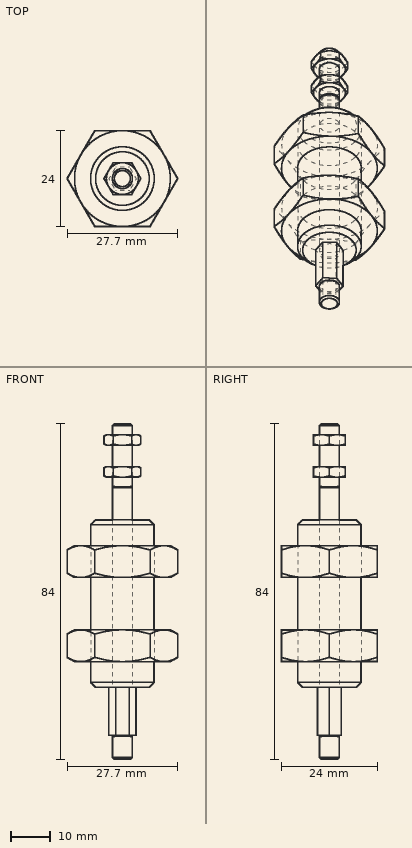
import cadquery as cq
import math

HEX_SIDES = 6

HOUSING_LENGTH = 42.0
HOUSING_DIAMETER = 16.0
HOUSING_CHAMFER = 1.3

ROD_DIAMETER = 5.0
ROD_ABOVE_HOUSING = 24.0
TOP_THREAD_LENGTH = 16.0
STOP_ACROSS_FLATS = 6.0
STOP_LENGTH = 12.0
BOTTOM_THREAD_LENGTH = 6.0
THREAD_DEPTH = 0.5
GROOVE_WIDTH = 0.25

NUT_CHAMFER_ANGLE = 30.0
MOUNTING_NUT_ACROSS_FLATS = 24.0
MOUNTING_NUT_THICKNESS = 8.0
MOUNTING_NUT_END_GAP = 6.5
ROD_NUT_ACROSS_FLATS = 8.0
ROD_NUT_THICKNESS = 2.7
ROD_NUT_END_GAP = 2.7
ROD_NUT_PITCH = 8.0

ROD_TOP = HOUSING_LENGTH + ROD_ABOVE_HOUSING
TOP_THREAD_START = ROD_TOP - TOP_THREAD_LENGTH
STOP_BOTTOM = -STOP_LENGTH
ROD_BOTTOM = STOP_BOTTOM - BOTTOM_THREAD_LENGTH

MOUNTING_NUT_BOTTOMS = [
    MOUNTING_NUT_END_GAP,
    HOUSING_LENGTH - MOUNTING_NUT_END_GAP - MOUNTING_NUT_THICKNESS,
]
UPPER_ROD_NUT_BOTTOM = ROD_TOP - ROD_NUT_END_GAP - ROD_NUT_THICKNESS
ROD_NUT_BOTTOMS = [UPPER_ROD_NUT_BOTTOM - ROD_NUT_PITCH, UPPER_ROD_NUT_BOTTOM]


def across_corners(across_flats):
    return across_flats / math.cos(math.pi / HEX_SIDES)


def hex_prism(across_flats, bottom, length):
    """Upright hexagonal prism with two corners on the X axis."""
    base = cq.Workplane("XY", origin=(0, 0, bottom))
    return base.polygon(HEX_SIDES, across_corners(across_flats)).extrude(length)


def cylinder(diameter, bottom, length):
    return cq.Workplane("XY", origin=(0, 0, bottom)).circle(diameter / 2).extrude(length)


def nut(across_flats, thickness, bore, bottom):
    """Hexagonal nut whose corners are turned to a cone at both faces."""
    face_radius = across_flats / 2
    corner_radius = across_corners(across_flats) / 2
    drop = (corner_radius - face_radius) * math.tan(math.radians(NUT_CHAMFER_ANGLE))
    turned_blank = (
        cq.Workplane("XZ")
        .moveTo(0, bottom)
        .lineTo(face_radius, bottom)
        .lineTo(corner_radius, bottom + drop)
        .lineTo(corner_radius, bottom + thickness - drop)
        .lineTo(face_radius, bottom + thickness)
        .lineTo(0, bottom + thickness)
        .close()
        .revolve(360, (0, 0), (0, 1))
    )
    hexagon = hex_prism(across_flats, bottom, thickness).intersect(turned_blank)
    return hexagon.cut(cylinder(bore, bottom, thickness))


def make_housing():
    barrel = cylinder(HOUSING_DIAMETER, 0, HOUSING_LENGTH)
    barrel = barrel.faces("<Z or >Z").chamfer(HOUSING_CHAMFER)
    return barrel.cut(cylinder(ROD_DIAMETER, 0, HOUSING_LENGTH))


def thread_groove(bottom):
    """Narrow ring down to the thread root, to be cut at the inner end of a thread."""
    ring = cylinder(ROD_DIAMETER, bottom, GROOVE_WIDTH)
    return ring.cut(cylinder(ROD_DIAMETER - 2 * THREAD_DEPTH, bottom, GROOVE_WIDTH))


def make_rod():
    shaft = cylinder(ROD_DIAMETER, ROD_BOTTOM, ROD_TOP - ROD_BOTTOM)
    shaft = shaft.faces("<Z or >Z").chamfer(THREAD_DEPTH)
    stop = hex_prism(STOP_ACROSS_FLATS, STOP_BOTTOM, STOP_LENGTH)
    rod = shaft.union(stop)
    for groove_bottom in (TOP_THREAD_START, STOP_BOTTOM - GROOVE_WIDTH):
        rod = rod.cut(thread_groove(groove_bottom))
    return rod


housing = make_housing()
rod = make_rod()
mounting_nuts = [
    nut(MOUNTING_NUT_ACROSS_FLATS, MOUNTING_NUT_THICKNESS, HOUSING_DIAMETER, bottom)
    for bottom in MOUNTING_NUT_BOTTOMS
]
rod_nuts = [
    nut(ROD_NUT_ACROSS_FLATS, ROD_NUT_THICKNESS, ROD_DIAMETER, bottom)
    for bottom in ROD_NUT_BOTTOMS
]

result = cq.Compound.makeCompound(
    [housing.val(), rod.val()] + [each.val() for each in mounting_nuts + rod_nuts]
)